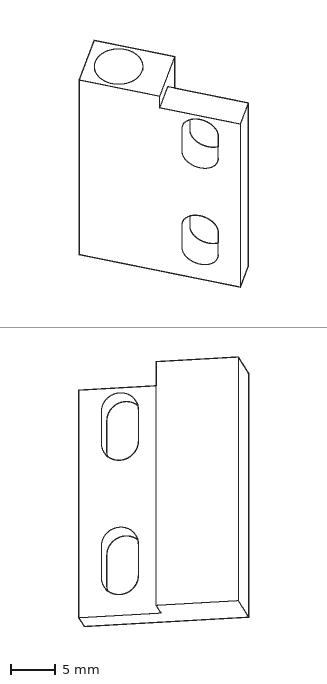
import cadquery as cq

width = 19.0
depth = 6.4
height = 29.0

column_width = width / 2
plate_thickness = 3.42
plate_drop = 1.9

bore_diameter = 5.5
bore_x = 3.77
bore_y = depth / 2
bore_depth = 24.95

slot_width = 4.25
slot_length = 8.0
slot_x = column_width + column_width / 2
lower_slot_z = 6.5
slot_spacing = 15.98


def make_body():
    """Column and plate, flush on the -Y face and at the bottom."""
    column = cq.Workplane("XY").box(column_width, depth, height, centered=False)
    plate = cq.Workplane("XY").box(width, plate_thickness, height - plate_drop, centered=False)
    return column.union(plate)


def make_bore():
    """Flat-bottomed cylinder sunk from the top of the column."""
    return (
        cq.Workplane("XY", origin=(bore_x, bore_y, height - bore_depth))
        .circle(bore_diameter / 2)
        .extrude(bore_depth)
    )


def make_slot(center_z):
    """Round-ended vertical slot running through the plate along Y."""
    return (
        cq.Workplane("XZ", origin=(slot_x, 0, center_z))
        .slot2D(slot_length, slot_width, angle=90)
        .extrude(-plate_thickness)
    )


result = make_body().cut(make_bore())
for slot_z in (lower_slot_z, lower_slot_z + slot_spacing):
    result = result.cut(make_slot(slot_z))